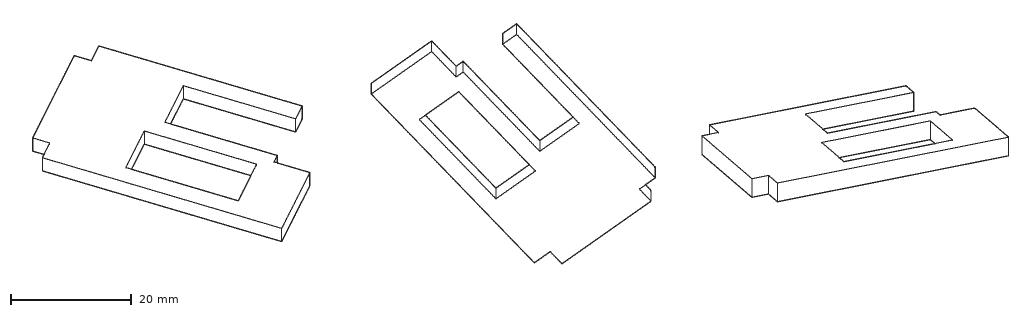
import cadquery as cq

length = 45.6
width = 26.0
thickness = 3.4

tab_length = 3.05
tab_width = 19.15

rail_width = 3.0
opening_width = (width - 3 * rail_width) / 2
opening_length = 19.95
window_start = 16.75

upper_end = 39.2
slot_start = upper_end - opening_length


def block(x_start, x_end, y_start, y_end):
    """Full-thickness block between the given X and Y limits."""
    return cq.Workplane("XY").box(
        x_end - x_start, y_end - y_start, thickness, centered=False
    ).translate((x_start, y_start, 0))


tab_start_y = (width - tab_width) / 2
lower_half = block(tab_length, length, 0, width / 2)
upper_half = block(tab_length, upper_end, width / 2, width)
tab = block(0, slot_start, tab_start_y, tab_start_y + tab_width)
body = lower_half.union(upper_half).union(tab).clean()

window_end = window_start + opening_length
window = block(window_start, window_end, rail_width, rail_width + opening_width)

slot_top = width - rail_width
slot = block(slot_start, length, slot_top - opening_width, slot_top)

result = body.cut(window).cut(slot)